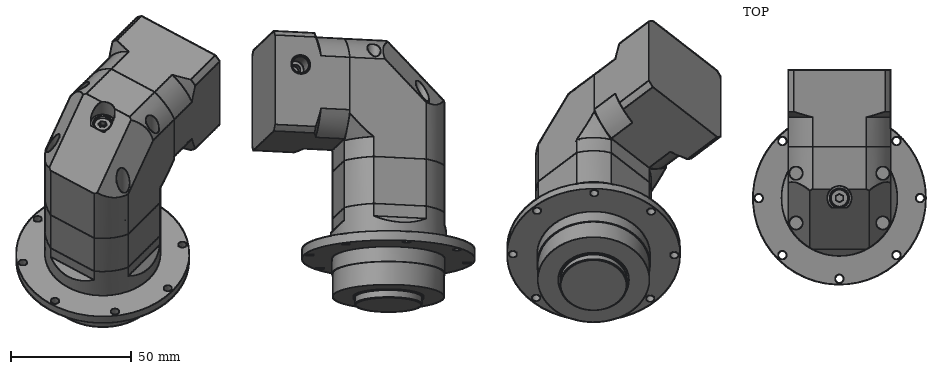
import cadquery as cq
import math

HEIGHT = 110.0
LEG_WIDTH = 42.7
LEG_HALF = LEG_WIDTH / 2
LEG_RADIUS = 24.1
LEVEL_AXIS_Z = HEIGHT - LEG_HALF

BASE_TOP = 38.1
RING_TOP = 58.1

LIP_RADIUS = 14.0
LIP_CHAMFER = 0.3
COLLAR_RADIUS = 14.7
COLLAR_BOTTOM = 3.2
SPIGOT_BOTTOM = 3.5
SPIGOT_STEP = 13.3
SPIGOT_LOWER_RADIUS = 23.2
SPIGOT_UPPER_RADIUS = 23.5
FLANGE_DIAMETER = 72.0
FLANGE_RADIUS = FLANGE_DIAMETER / 2
FLANGE_BOTTOM = 19.6
FLANGE_THICKNESS = 4.0
FLAT_BOTTOM = 32.8
FLANGE_HOLE_COUNT = 8
FLANGE_HOLE_DIAMETER = 3.4
FLANGE_HOLE_CIRCLE = 33.5

BEVEL_LEG = 25.1
BEVEL_EDGE = 9.0
FLARE_BOTTOM = 66.5
FLARE_HEIGHT = 9.4
BOLT_HOLE_X = 18.0
BOLT_HOLE_Y = 10.3
BOLT_HOLE_DIAMETER = 5.5
BOLT_HOLE_FLOOR = FLARE_BOTTOM
PLUG_POCKET_RADIUS = 5.1
PLUG_POCKET_FLOOR = 102.3
PLUG_COUNTERSINK_RADIUS = 4.1
PLUG_FACE_RADIUS = 3.5
HEX_ACROSS_FLATS = 3.1
HEX_DEPTH = 2.2

OVERALL_DEPTH = 89.3
ADAPTER_END = OVERALL_DEPTH - FLANGE_RADIUS
SHOULDER_START = 33.7
SHOULDER_END = 36.0
BLOCK_RADIUS = 28.6
PORT_Y = 42.4
PORT_ABOVE_AXIS = 7.0
PORT_MOUTH_RADIUS = 4.1
PORT_RADIUS = 3.5
PORT_DEPTH = 9.9
PORT_CORE_RADIUS = 2.1
PORT_CORE_DEPTH = 13.2


def square_prism(bottom, top):
    """Square leg stock about the Z axis between two heights."""
    return (
        cq.Workplane("XY")
        .workplane(offset=bottom)
        .rect(LEG_WIDTH, LEG_WIDTH)
        .extrude(top - bottom)
    )


def cylinder(radius, bottom, top):
    return cq.Workplane("XY").workplane(offset=bottom).circle(radius).extrude(top - bottom)


def countersink(mouth_radius, floor_radius):
    """Conical recess with 45-degree walls, going down from the origin."""
    depth = mouth_radius - floor_radius
    profile = [(0, 0), (mouth_radius, 0), (floor_radius, -depth), (0, -depth)]
    return cq.Workplane("XZ").polyline(profile).close().revolve(360, (0, 0), (0, 1))


def turned_base():
    flange_top = FLANGE_BOTTOM + FLANGE_THICKNESS
    profile = [
        (0, 0),
        (LIP_RADIUS - LIP_CHAMFER, 0),
        (LIP_RADIUS, LIP_CHAMFER),
        (LIP_RADIUS, COLLAR_BOTTOM),
        (COLLAR_RADIUS, COLLAR_BOTTOM),
        (COLLAR_RADIUS, SPIGOT_BOTTOM),
        (SPIGOT_LOWER_RADIUS, SPIGOT_BOTTOM),
        (SPIGOT_LOWER_RADIUS, SPIGOT_STEP),
        (SPIGOT_UPPER_RADIUS, SPIGOT_STEP),
        (SPIGOT_UPPER_RADIUS, FLANGE_BOTTOM),
        (FLANGE_RADIUS, FLANGE_BOTTOM),
        (FLANGE_RADIUS, flange_top),
        (LEG_RADIUS, flange_top),
        (LEG_RADIUS, BASE_TOP),
        (0, BASE_TOP),
    ]
    return cq.Workplane("XZ").polyline(profile).close().revolve(360, (0, 0), (0, 1))


def flat_cutter():
    """Stock outside one flat of the square, ending below in a 45-degree run-out."""
    run_out = LEG_RADIUS - LEG_HALF
    profile = [
        (LEG_HALF, BASE_TOP),
        (LEG_HALF, FLAT_BOTTOM),
        (LEG_RADIUS, FLAT_BOTTOM - run_out),
        (LEG_RADIUS, BASE_TOP),
    ]
    return cq.Workplane("XZ").polyline(profile).close().extrude(LEG_RADIUS, both=True)


def make_base():
    base = turned_base()
    for quarter in range(4):
        base = base.cut(flat_cutter().rotate((0, 0, 0), (0, 0, 1), 90 * quarter))
    holes = (
        cq.Workplane("XY")
        .workplane(offset=FLANGE_BOTTOM)
        .polarArray(FLANGE_HOLE_CIRCLE, 0, 360, FLANGE_HOLE_COUNT)
        .circle(FLANGE_HOLE_DIAMETER / 2)
        .extrude(FLANGE_THICKNESS)
    )
    return base.cut(holes)


def make_ring():
    return square_prism(BASE_TOP, RING_TOP).intersect(cylinder(LEG_RADIUS, BASE_TOP, RING_TOP))


def vertical_envelope():
    """Rounds the vertical corners; the rear ones flare out to the full square at the inner corner."""
    flare_top = FLARE_BOTTOM + FLARE_HEIGHT
    square_corner = LEG_HALF * math.sqrt(2)
    profile = [
        (0, RING_TOP),
        (LEG_RADIUS, RING_TOP),
        (LEG_RADIUS, FLARE_BOTTOM),
        (square_corner, flare_top),
        (square_corner, HEIGHT),
        (0, HEIGHT),
    ]
    rear_half = cq.Workplane("XZ").polyline(profile).close().revolve(180, (0, 0), (0, 1))
    return cylinder(LEG_RADIUS, RING_TOP, HEIGHT).union(rear_half)


def level_envelope():
    """Rounds the two upper corners that run along Y."""
    upper = (
        cq.Workplane("XZ", origin=(0, LEG_HALF, LEVEL_AXIS_Z))
        .circle(LEG_RADIUS)
        .extrude(LEG_WIDTH)
    )
    return upper.union(square_prism(RING_TOP, LEVEL_AXIS_Z))


def bevel_envelope():
    """Tilted block whose chamfered top face bevels the outer corner of the elbow."""
    size = 2 * HEIGHT
    middle = BEVEL_LEG / 2
    return (
        cq.Workplane("XY")
        .box(LEG_WIDTH, size, size, centered=(True, True, False))
        .translate((0, 0, -size))
        .edges("|Y and >Z")
        .chamfer(BEVEL_EDGE)
        .rotate((0, 0, 0), (1, 0, 0), 45)
        .translate((0, middle - LEG_HALF, HEIGHT - middle))
    )


def bolt_holes():
    return (
        cq.Workplane("XY")
        .workplane(offset=BOLT_HOLE_FLOOR)
        .rect(2 * BOLT_HOLE_X, 2 * BOLT_HOLE_Y, forConstruction=True)
        .vertices()
        .circle(BOLT_HOLE_DIAMETER / 2)
        .extrude(HEIGHT - BOLT_HOLE_FLOOR)
    )


def plug_recess():
    """Round pocket in the bevel with a countersunk hexagon socket in its floor."""
    pocket = cylinder(PLUG_POCKET_RADIUS, PLUG_POCKET_FLOOR, HEIGHT)
    sink = countersink(PLUG_COUNTERSINK_RADIUS, PLUG_FACE_RADIUS).translate((0, 0, PLUG_POCKET_FLOOR))
    plug_face = PLUG_POCKET_FLOOR - (PLUG_COUNTERSINK_RADIUS - PLUG_FACE_RADIUS)
    across_corners = HEX_ACROSS_FLATS / math.cos(math.radians(30))
    socket = (
        cq.Workplane("XY")
        .polygon(6, across_corners)
        .extrude(-HEX_DEPTH)
        .rotate((0, 0, 0), (0, 0, 1), 30)
        .translate((0, 0, plug_face))
    )
    return pocket.union(sink).union(socket)


def make_elbow():
    return (
        square_prism(RING_TOP, HEIGHT)
        .intersect(vertical_envelope())
        .intersect(level_envelope())
        .intersect(bevel_envelope())
        .cut(bolt_holes())
        .cut(plug_recess())
    )


def port():
    """Stepped hole with a countersunk mouth, going down from the origin."""
    bore = cylinder(PORT_RADIUS, -PORT_DEPTH, 0)
    core = cylinder(PORT_CORE_RADIUS, -PORT_CORE_DEPTH, 0)
    return countersink(PORT_MOUTH_RADIUS, PORT_RADIUS).union(bore).union(core)


def make_adapter():
    profile = [
        (0, LEG_HALF),
        (LEG_RADIUS, LEG_HALF),
        (LEG_RADIUS, SHOULDER_START),
        (BLOCK_RADIUS, SHOULDER_END),
        (BLOCK_RADIUS, ADAPTER_END),
        (0, ADAPTER_END),
    ]
    turned = cq.Workplane("XY").polyline(profile).close().revolve(360, (0, 0), (0, 1))
    stock = cq.Workplane("XY").box(LEG_WIDTH, 2 * ADAPTER_END, LEG_WIDTH)
    side_port = (
        port()
        .rotate((0, 0, 0), (0, 1, 0), -90)
        .translate((-LEG_HALF, PORT_Y, PORT_ABOVE_AXIS))
    )
    return turned.intersect(stock).cut(side_port).translate((0, 0, LEVEL_AXIS_Z))


base = make_base()
ring = make_ring()
elbow = make_elbow()
adapter = make_adapter()

result = cq.Compound.makeCompound([base.val(), ring.val(), elbow.val(), adapter.val()])